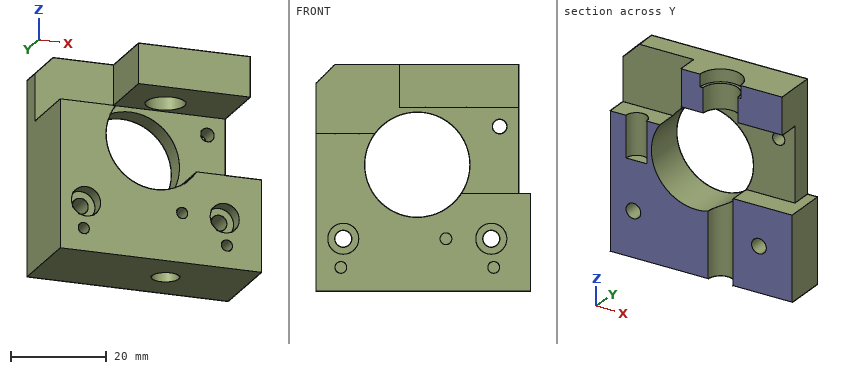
import cadquery as cq

WIDTH = 45.0
DEPTH = 20.0
HEIGHT = 47.5

PLATE_THICKNESS = 5.0
PLATE_RIGHT = 42.5
PLATE_CHAMFER = 4.0
ARM_LEFT = 17.5
ARM_THICKNESS = 9.0
FRONT_OF_PLATE = DEPTH - PLATE_THICKNESS
ARM_BOTTOM = HEIGHT - ARM_THICKNESS

LEFT_SHOULDER = 33.0
RIGHT_SHOULDER = 20.5

BORE_DIAMETER = 22.0
BORE_X = 21.25
BORE_Z = 26.5
SCREW_SPACING = 31.0
SCREW_DIAMETER = 3.5
SCREW_HEAD_DIAMETER = 6.5
SCREW_HEAD_DEPTH = 3.4

PLATE_HOLE_DIAMETER = 3.0
PLATE_HOLE_X = 38.5
PLATE_HOLE_Z = 34.5

PILOT_DIAMETER = 2.46
PILOT_DEPTH = 6.0
LOWER_PILOT_SPACING = 32.0
LOWER_PILOT_Z = 5.0

ROD_X = 27.25
ROD_Y = DEPTH / 2
ROD_DIAMETER = 6.0
ARM_HOLE_DIAMETER = 8.56
ARM_COUNTERBORE_DIAMETER = 10.0
ARM_COUNTERBORE_DEPTH = 3.0
SHOULDER_HOLE_X = 6.5
SHOULDER_HOLE_DIAMETER = 5.0
SHOULDER_HOLE_DEPTH = 10.0


def box(left, right, front, back, bottom, top):
    """Block between the given limits along X, Y and Z."""
    block = cq.Workplane("XY").box(right - left, back - front, top - bottom, centered=False)
    return block.translate((left, front, bottom))


def hole_from_front(x, z, diameter, depth=DEPTH):
    """Cylinder going into the part from the front face."""
    return cq.Workplane("XZ", origin=(x, 0, z)).circle(diameter / 2).extrude(-depth)


def hole_from_top(x, y, top, diameter, depth):
    """Cylinder going down from the given height."""
    return cq.Workplane("XY", origin=(x, y, top)).circle(diameter / 2).extrude(-depth)


def make_body():
    """Thick lower body, chamfered upright plate and overhanging arm."""
    base = box(0, WIDTH, 0, DEPTH, 0, RIGHT_SHOULDER)
    left_shoulder = box(0, BORE_X, 0, DEPTH, 0, LEFT_SHOULDER)
    plate = box(0, PLATE_RIGHT, FRONT_OF_PLATE, DEPTH, 0, HEIGHT)
    plate = plate.edges("|Y and <X and >Z").chamfer(PLATE_CHAMFER)
    arm = box(ARM_LEFT, PLATE_RIGHT, 0, DEPTH, ARM_BOTTOM, HEIGHT)
    return base.union(left_shoulder).union(plate).union(arm)


def cut_bore_and_screws(body):
    """Motor bore and its counterbored screw holes."""
    body = body.cut(hole_from_front(BORE_X, BORE_Z, BORE_DIAMETER))
    screw_z = BORE_Z - SCREW_SPACING / 2
    for side in (-1, 1):
        screw_x = BORE_X + side * SCREW_SPACING / 2
        body = body.cut(hole_from_front(screw_x, screw_z, SCREW_DIAMETER))
        body = body.cut(hole_from_front(screw_x, screw_z, SCREW_HEAD_DIAMETER, SCREW_HEAD_DEPTH))
    return body


def cut_small_front_holes(body):
    """Plate hole and blind pilot holes."""
    body = body.cut(hole_from_front(PLATE_HOLE_X, PLATE_HOLE_Z, PLATE_HOLE_DIAMETER))
    pilots = [
        (ROD_X, BORE_Z - SCREW_SPACING / 2),
        (BORE_X - LOWER_PILOT_SPACING / 2, LOWER_PILOT_Z),
        (BORE_X + LOWER_PILOT_SPACING / 2, LOWER_PILOT_Z),
    ]
    for x, z in pilots:
        body = body.cut(hole_from_front(x, z, PILOT_DIAMETER, PILOT_DEPTH))
    return body


def cut_vertical_holes(body):
    """Stepped hole through arm and body, and the blind shoulder hole."""
    body = body.cut(hole_from_top(ROD_X, ROD_Y, HEIGHT, ROD_DIAMETER, HEIGHT))
    body = body.cut(hole_from_top(ROD_X, ROD_Y, HEIGHT, ARM_HOLE_DIAMETER, ARM_THICKNESS))
    body = body.cut(hole_from_top(ROD_X, ROD_Y, HEIGHT, ARM_COUNTERBORE_DIAMETER, ARM_COUNTERBORE_DEPTH))
    shoulder_hole = hole_from_top(
        SHOULDER_HOLE_X, ROD_Y, LEFT_SHOULDER, SHOULDER_HOLE_DIAMETER, SHOULDER_HOLE_DEPTH
    )
    return body.cut(shoulder_hole)


result = cut_vertical_holes(cut_small_front_holes(cut_bore_and_screws(make_body())))